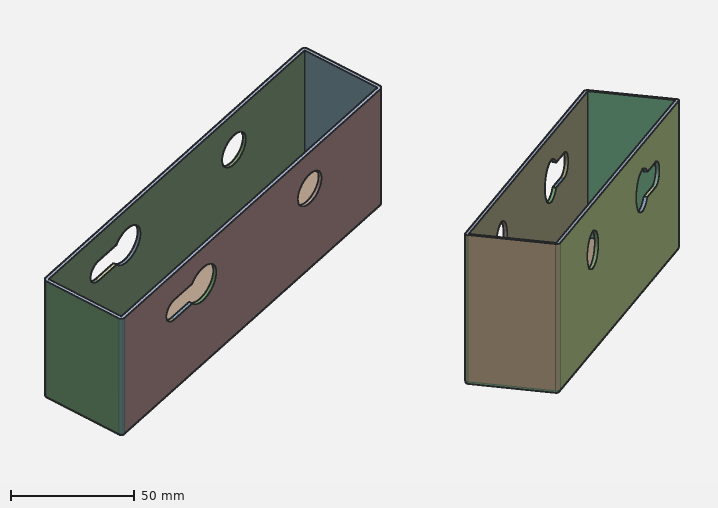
import cadquery as cq

width = 40.0
length = 175.0
height = 65.0
wall = 1.5
edge_radius = 1.5

opening_height = 45.0
hole_diameter = 16.0
hole_y = 38.5
keyhole_y = -33.2
keyhole_diameter = 18.0
slot_width = 10.8
slot_end_y = -57.8


def make_box():
    """Box with rounded upright and bottom edges, hollowed from the top."""
    outer = cq.Workplane("XY").box(width, length, height, centered=(True, True, False))
    outer = outer.edges("|Z or <Z").fillet(edge_radius)
    cavity = (
        cq.Workplane("XY", origin=(0, 0, wall))
        .box(width - 2 * wall, length - 2 * wall, height, centered=(True, True, False))
    )
    return outer.cut(cavity)


def cross_cylinder(y, diameter):
    """Cylinder along X that spans the whole width at opening height."""
    return (
        cq.Workplane("YZ")
        .center(y, opening_height)
        .circle(diameter / 2)
        .extrude(width, both=True)
    )


def keyhole():
    """Large entry circle with a round-ended slot running towards -Y."""
    slot_center_y = slot_end_y + slot_width / 2
    neck = (
        cq.Workplane("YZ")
        .center((keyhole_y + slot_center_y) / 2, opening_height)
        .rect(keyhole_y - slot_center_y, slot_width)
        .extrude(width, both=True)
    )
    slot_end = cross_cylinder(slot_center_y, slot_width)
    return cross_cylinder(keyhole_y, keyhole_diameter).union(neck).union(slot_end)


result = make_box().cut(cross_cylinder(hole_y, hole_diameter)).cut(keyhole())